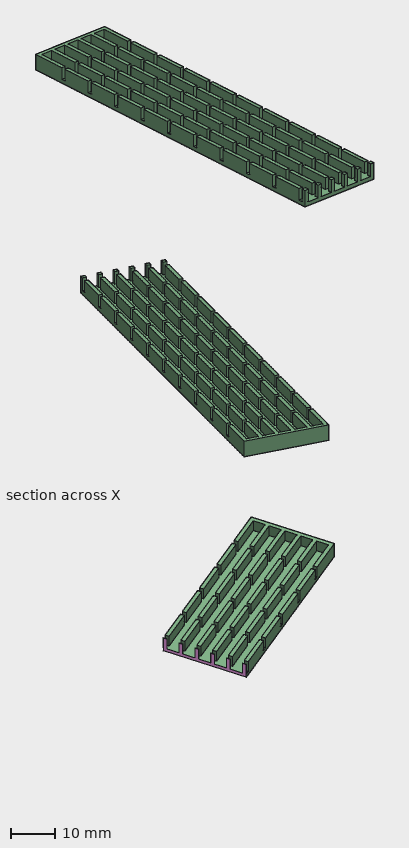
import cadquery as cq

length = 92.0
width = 21.0
total_height = 4.2

wall_thickness = 1.0
wall_height = 4.0
floor_thickness = 1.0

rib_count = 6
rib_pitch = (width - wall_thickness) / (rib_count - 1)
channel_width = rib_pitch - wall_thickness

slot_count = 10
slot_width = 1.0
end_post_length = wall_thickness
slot_pitch = (length - end_post_length - slot_width) / slot_count


def box_at(x, y, z, size_x, size_y, size_z):
    """Box with its minimum corner at (x, y, z)."""
    return cq.Workplane("XY").box(size_x, size_y, size_z, centered=False).translate((x, y, z))


def cut_channels(body):
    """Open channels between the ribs, closed by a wall at the -X end only."""
    for channel in range(rib_count - 1):
        y = wall_thickness + channel * rib_pitch
        body = body.cut(
            box_at(wall_thickness, y, floor_thickness, length - wall_thickness, channel_width, total_height)
        )
    return body


def cut_cross_slots(body):
    """Slots across the full width, down to the channel floor."""
    for slot in range(1, slot_count + 1):
        body = body.cut(box_at(slot * slot_pitch, 0, floor_thickness, slot_width, width, total_height))
    return body


def lower_walls(body):
    """Trim everything except the end posts to the wall height."""
    return body.cut(box_at(0, 0, wall_height, length - end_post_length, width, total_height))


result = box_at(0, 0, 0, length, width, total_height)
result = cut_channels(result)
result = cut_cross_slots(result)
result = lower_walls(result)